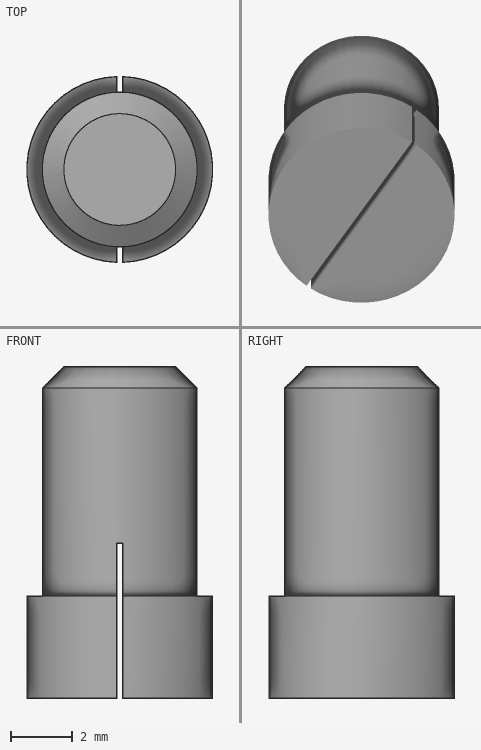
import cadquery as cq

total_height = 10.7
collar_diameter = 6.0
collar_height = 3.3
shaft_diameter = 5.0
tip_chamfer = 0.7
slot_width = 0.18
slot_height = 5.0

collar = cq.Workplane("XY").circle(collar_diameter / 2).extrude(collar_height)

shaft = (
    cq.Workplane("XY")
    .circle(shaft_diameter / 2)
    .extrude(total_height)
    .faces(">Z")
    .chamfer(tip_chamfer)
)

slot = cq.Workplane("XY").box(
    slot_width, collar_diameter, slot_height, centered=(True, True, False)
)

result = collar.union(shaft).cut(slot)